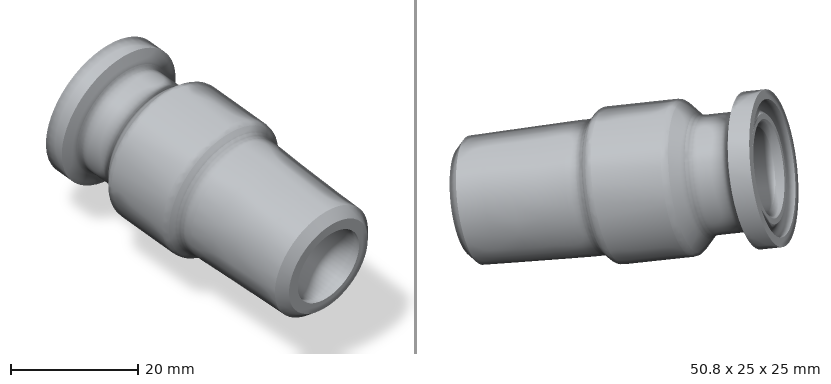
import cadquery as cq
import math

length = 50.8
flange_radius = 25.0 / 2
bore_radius = 13.45 / 2

flange_rim_width = 3.55
flange_back_angle = 20.0
flange_fillet = 0.8

neck_radius = 19.05 / 2
barrel_radius = flange_radius
barrel_start = 14.0
barrel_end = 26.8
shoulder_fillet = 1.5

collar_radius = 21.6 / 2
collar_end = 31.0
taper_slope = 1 / 32
end_chamfer = 1.6

groove_outer_radius = 21.9 / 2
groove_arc_radius = 0.8
groove_wall_angle = 40.0
land_recess = 0.8
land_outer_radius = 8.8
countersink_radius = 7.85

neck_start = flange_rim_width + (flange_radius - neck_radius) * math.tan(math.radians(flange_back_angle))
neck_end = barrel_start - (barrel_radius - neck_radius)
collar_start = barrel_end + (barrel_radius - collar_radius)
chamfer_start = length - end_chamfer
taper_end_radius = collar_radius - (chamfer_start - collar_end) * taper_slope


def make_outer_body():
    """Revolve the outside outline, with sharp corners, about the X axis."""
    return (
        cq.Workplane("XY")
        .polyline([
            (0, 0),
            (0, flange_radius),
            (flange_rim_width, flange_radius),
            (neck_start, neck_radius),
            (neck_end, neck_radius),
            (barrel_start, barrel_radius),
            (barrel_end, barrel_radius),
            (collar_start, collar_radius),
            (collar_end, collar_radius),
            (chamfer_start, taper_end_radius),
            (length, taper_end_radius - end_chamfer),
            (length, 0),
        ])
        .close()
        .revolve(360, (0, 0, 0), (1, 0, 0))
    )


def round_corner(body, x, radius):
    """Fillet the circular edge whose centre is on the axis at the given X."""
    reach = 0.05
    near_corner = cq.selectors.BoxSelector((x - reach, -reach, -reach), (x + reach, reach, reach))
    return body.edges(near_corner).fillet(radius)


def make_face_recess():
    """Revolve the groove, the space in front of the land and the countersink as one cutter."""
    wall_angle = math.radians(groove_wall_angle)
    arc_center_radius = groove_outer_radius - groove_arc_radius
    wall_foot_radius = arc_center_radius - groove_arc_radius * math.cos(wall_angle)
    wall_foot_x = land_recess + (wall_foot_radius - land_outer_radius) / math.tan(wall_angle)
    arc_center_x = wall_foot_x - groove_arc_radius * math.sin(wall_angle)
    countersink_end = land_recess + countersink_radius - bore_radius
    return (
        cq.Workplane("XY")
        .moveTo(0, 0)
        .lineTo(0, groove_outer_radius)
        .lineTo(arc_center_x, groove_outer_radius)
        .threePointArc(
            (arc_center_x + groove_arc_radius, arc_center_radius),
            (wall_foot_x, wall_foot_radius),
        )
        .lineTo(land_recess, land_outer_radius)
        .lineTo(land_recess, countersink_radius)
        .lineTo(countersink_end, bore_radius)
        .lineTo(countersink_end, 0)
        .close()
        .revolve(360, (0, 0, 0), (1, 0, 0))
    )


def make_bore():
    """Straight bore through the whole length."""
    return cq.Workplane("YZ").circle(bore_radius).extrude(length)


outer_body = round_corner(make_outer_body(), neck_start, flange_fillet)
for corner_x in (neck_end, barrel_start, barrel_end, collar_start):
    outer_body = round_corner(outer_body, corner_x, shoulder_fillet)

result = outer_body.cut(make_face_recess()).cut(make_bore())